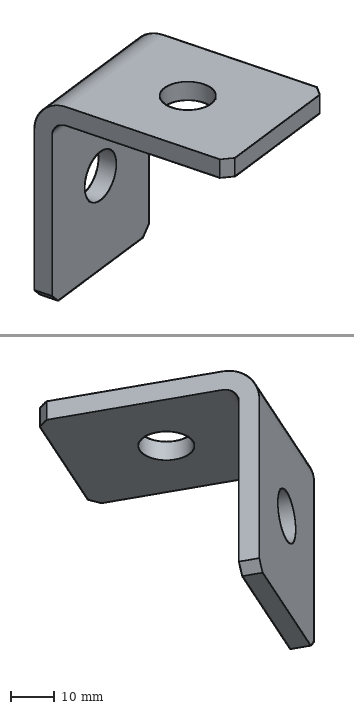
import cadquery as cq

leg_length = 54.3
width = 40.0
thickness = 5.0
inner_bend_radius = 4.0
outer_bend_radius = inner_bend_radius + thickness
hole_diameter = 13.0
hole_from_bend = 29.3
corner_chamfer = 2.5


def bent_strip():
    """L-shaped sheet with its outer corner at X = 0, Z = leg_length."""
    strip = (
        cq.Workplane("XZ")
        .moveTo(0, 0)
        .lineTo(0, leg_length)
        .lineTo(leg_length, leg_length)
        .lineTo(leg_length, leg_length - thickness)
        .lineTo(thickness, leg_length - thickness)
        .lineTo(thickness, 0)
        .close()
        .extrude(width / 2, both=True)
    )
    strip = strip.edges("|Y").edges("<X and >Z").fillet(outer_bend_radius)
    inner_corner = cq.NearestToPointSelector((thickness, 0, leg_length - thickness))
    return strip.edges("|Y").edges(inner_corner).fillet(inner_bend_radius)


def chamfer_leg_ends(body):
    """Cut the two free corners of each leg."""
    body = body.faces(">X").edges("|Z").chamfer(corner_chamfer)
    return body.faces("<Z").edges("|X").chamfer(corner_chamfer)


def drill_legs(body):
    """Put one through hole on the centreline of each leg."""
    hole_radius = hole_diameter / 2
    top_hole = cq.Solid.makeCylinder(
        hole_radius, thickness,
        cq.Vector(hole_from_bend, 0, leg_length - thickness), cq.Vector(0, 0, 1),
    )
    side_hole = cq.Solid.makeCylinder(
        hole_radius, thickness,
        cq.Vector(0, 0, leg_length - hole_from_bend), cq.Vector(1, 0, 0),
    )
    return body.cut(cq.Workplane(top_hole)).cut(cq.Workplane(side_hole))


result = drill_legs(chamfer_leg_ends(bent_strip()))